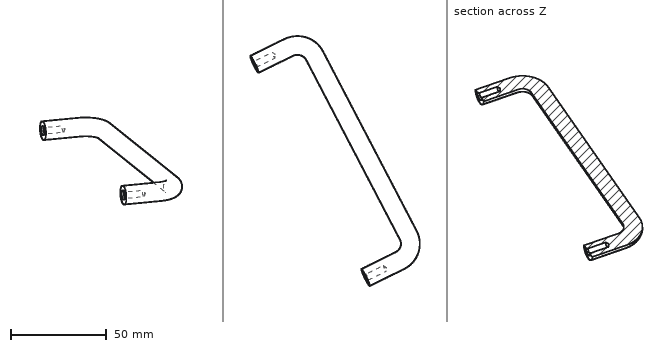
import cadquery as cq
import math

length = 138.0
depth = 35.0
bar_diameter = 10.0
bend_radius = 10.1

hole_diameter = 3.3
hole_depth = 11.0
countersink_diameter = 5.0
countersink_angle = 90.0
drill_point_angle = 118.0

leg_x = length / 2 - bar_diameter / 2
grip_y = depth - bar_diameter / 2


def bent_bar():
    """Round bar swept up one leg, along the grip and down the other leg."""
    bend_start_y = grip_y - bend_radius
    bend_end_x = leg_x - bend_radius
    centreline = (
        cq.Workplane("XY")
        .moveTo(-leg_x, 0)
        .lineTo(-leg_x, bend_start_y)
        .tangentArcPoint((-bend_end_x, grip_y), relative=False)
        .lineTo(bend_end_x, grip_y)
        .tangentArcPoint((leg_x, bend_start_y), relative=False)
        .lineTo(leg_x, 0)
    )
    return (
        cq.Workplane("XZ")
        .center(-leg_x, 0)
        .circle(bar_diameter / 2)
        .sweep(centreline)
    )


def cone_height(radius, full_angle):
    """Axial height over which a cone narrows by the given radius."""
    return radius / math.tan(math.radians(full_angle / 2))


def leg_hole(x):
    """Cutter for one leg hole: countersink, straight bore and drill point."""
    hole_radius = hole_diameter / 2
    countersink_radius = countersink_diameter / 2
    countersink_depth = cone_height(countersink_radius - hole_radius, countersink_angle)
    tip_depth = hole_depth + cone_height(hole_radius, drill_point_angle)
    return (
        cq.Workplane("XY")
        .moveTo(0, 0)
        .lineTo(countersink_radius, 0)
        .lineTo(hole_radius, countersink_depth)
        .lineTo(hole_radius, hole_depth)
        .lineTo(0, tip_depth)
        .close()
        .revolve(360, (0, 0, 0), (0, 1, 0))
        .translate((x, 0, 0))
    )


result = bent_bar()
for hole_x in (-leg_x, leg_x):
    result = result.cut(leg_hole(hole_x))